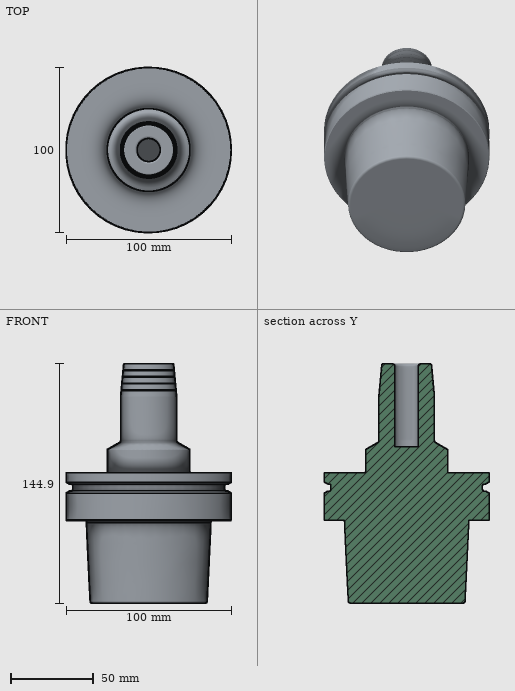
import cadquery as cq
import math


shank_length = 50.0
shank_top_radius = 37.8
shank_bottom_radius = 35.4
shank_end_fillet = 1.5
relief_top = -0.6
relief_bottom = -2.2
relief_depth = 0.2

flange_radius = 50.0
flange_height = 29.0
flange_edge_chamfer = 0.5
groove_center_height = 20.0
groove_mouth_width = 6.6
groove_inner_width = 4.0
groove_floor_radius = 46.0
groove_floor_fillet = 0.85
groove_wall_angle = 30.0

boss_radius = 25.0
boss_height = 43.0
boss_base_fillet = 0.5
boss_edge_fillet = 0.5
shoulder_angle = 30.0
neck_radius = 17.0
neck_base_fillet = 1.0

nose_base_height = 74.9
nose_top_height = 94.9
nose_top_radius = 15.15
nose_edge_fillet = 1.0
ring_count = 4
ring_pitch = 4.0
ring_radius = 0.25

bore_radius = 7.0
bore_depth = 50.0
bore_mouth_fillet = 1.6

selection_margin = 0.01


def revolve(profile):
    """Turn a closed (radius, height) profile around the Z axis."""
    return profile.close().revolve(360, (0, 0, 0), (0, 1, 0))


def edges_at(height, radius):
    """Select the circular edge at a given height and radius."""
    reach = radius + selection_margin
    low_corner = (-reach, -reach, height - selection_margin)
    high_corner = (reach, reach, height + selection_margin)
    return cq.selectors.BoxSelector(low_corner, high_corner, boundingbox=True)


def make_shank():
    """Conical shank with a rounded end."""
    profile = (
        cq.Workplane("XZ")
        .lineTo(shank_top_radius, 0)
        .lineTo(shank_bottom_radius, -shank_length)
        .lineTo(0, -shank_length)
    )
    return revolve(profile).faces("<Z").edges().fillet(shank_end_fillet)


def make_relief():
    """Cutter for the shallow V-shaped ring just under the flange."""
    taper = (shank_top_radius - shank_bottom_radius) / shank_length
    middle = (relief_top + relief_bottom) / 2
    top_radius = shank_top_radius + taper * relief_top
    middle_radius = shank_top_radius + taper * middle - relief_depth
    bottom_radius = shank_top_radius + taper * relief_bottom
    profile = (
        cq.Workplane("XZ")
        .moveTo(shank_top_radius, relief_top)
        .lineTo(top_radius, relief_top)
        .lineTo(middle_radius, middle)
        .lineTo(bottom_radius, relief_bottom)
        .lineTo(shank_top_radius, relief_bottom)
    )
    return revolve(profile)


def make_flange():
    """Flange disc with a chamfered lower edge."""
    flange = cq.Workplane("XY").circle(flange_radius).extrude(flange_height)
    return flange.faces("<Z").edges().chamfer(flange_edge_chamfer)


def make_gripper_groove():
    """Cutter for a groove with sloping walls, a flat ledge on each side and a filleted floor."""
    mouth = groove_mouth_width / 2
    inner = groove_inner_width / 2
    ledge_radius = flange_radius - (mouth - inner) / math.tan(math.radians(groove_wall_angle))
    z = groove_center_height
    profile = (
        cq.Workplane("XZ")
        .moveTo(flange_radius, z - mouth)
        .lineTo(ledge_radius, z - inner)
        .lineTo(groove_floor_radius, z - inner)
        .lineTo(groove_floor_radius, z + inner)
        .lineTo(ledge_radius, z + inner)
        .lineTo(flange_radius, z + mouth)
    )
    groove = revolve(profile)
    for side in (-inner, inner):
        groove = groove.edges(edges_at(z + side, groove_floor_radius)).fillet(groove_floor_fillet)
    return groove


def make_boss_and_nose():
    """Boss, sloping shoulder, neck and tapered nose as one turned piece."""
    shoulder_rise = (boss_radius - neck_radius) * math.tan(math.radians(shoulder_angle))
    neck_base = boss_height + shoulder_rise
    profile = (
        cq.Workplane("XZ")
        .moveTo(0, flange_height)
        .lineTo(boss_radius, flange_height)
        .lineTo(boss_radius, boss_height)
        .lineTo(neck_radius, neck_base)
        .lineTo(neck_radius, nose_base_height)
        .lineTo(nose_top_radius, nose_top_height)
        .lineTo(0, nose_top_height)
    )
    body = revolve(profile)
    body = body.edges(edges_at(boss_height, boss_radius)).fillet(boss_edge_fillet)
    body = body.edges(edges_at(neck_base, neck_radius)).fillet(neck_base_fillet)
    body = body.edges(edges_at(nose_top_height, nose_top_radius)).fillet(nose_edge_fillet)
    return body


def cut_nose_rings(body):
    """Cut fine round-bottomed ring grooves, evenly spaced up the nose."""
    slope = (neck_radius - nose_top_radius) / (nose_top_height - nose_base_height)
    for index in range(1, ring_count + 1):
        rise = index * ring_pitch
        center = cq.Vector(0, 0, nose_base_height + rise)
        ring = cq.Solid.makeTorus(neck_radius - slope * rise, ring_radius, center)
        body = body.cut(cq.Workplane(obj=ring))
    return body


def cut_bore(body):
    """Blind clamping bore from the nose tip, with a rounded mouth."""
    body = body.faces(">Z").workplane(origin=(0, 0, 0)).hole(2 * bore_radius, bore_depth)
    return body.edges(edges_at(nose_top_height, bore_radius)).fillet(bore_mouth_fillet)


result = make_flange().cut(make_gripper_groove())
result = result.union(make_shank().cut(make_relief()))
result = result.union(make_boss_and_nose())
result = result.edges(edges_at(flange_height, boss_radius)).fillet(boss_base_fillet)
result = cut_bore(result)
result = cut_nose_rings(result).solids()